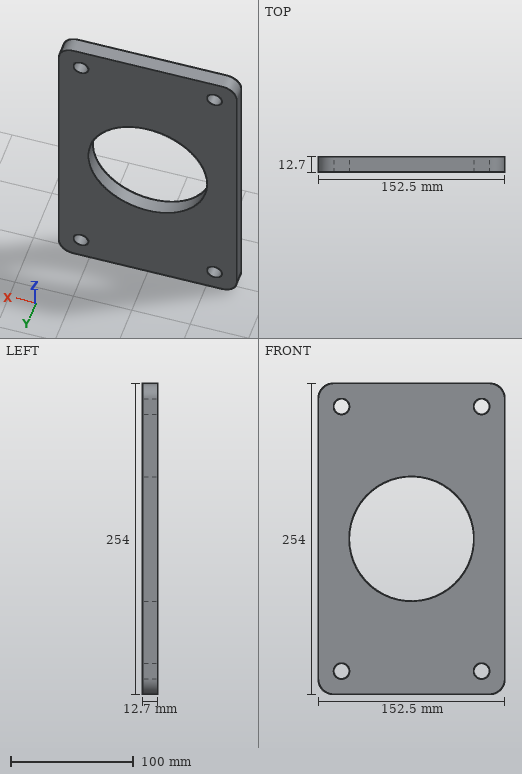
import cadquery as cq

width = 152.5
thickness = 12.7
height = 254.0
corner_radius = 12.7

bore_diameter = 101.5
bolt_hole_diameter = 12.7
bolt_edge_distance = 19.0
bolt_spacing_x = width - 2 * bolt_edge_distance
bolt_spacing_z = height - 2 * bolt_edge_distance

plate = cq.Workplane("XY").box(width, thickness, height).edges("|Y").fillet(corner_radius)

plate = plate.faces("<Y").workplane(origin=(0, 0, 0)).hole(bore_diameter)

result = (
    plate.faces("<Y")
    .workplane(origin=(0, 0, 0))
    .rarray(bolt_spacing_x, bolt_spacing_z, 2, 2)
    .hole(bolt_hole_diameter)
)